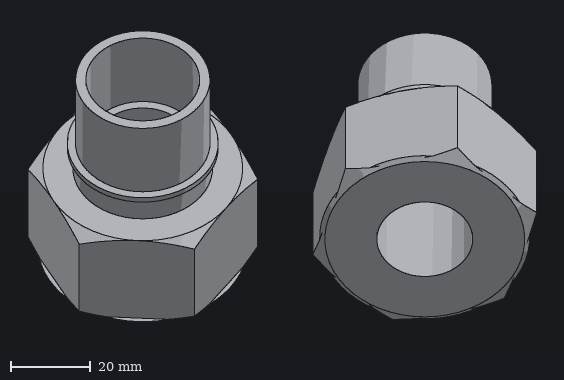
import cadquery as cq
import math

total_height = 61.25
nut_height = 29.0
collar_bottom = 36.55
collar_top = 38.15

tube_diameter = 33.7
collar_diameter = 37.8
neck_diameter = 35.0
socket_diameter = 28.5
bore_diameter = 24.0
skirt_diameter = 52.6

corner_diameter = 57.75
flat_diameter = corner_diameter * math.cos(math.radians(30))
chamfer_slope = math.tan(math.radians(30))
chamfer_height = (corner_diameter - flat_diameter) / 2 * chamfer_slope
skirt_height = (skirt_diameter - flat_diameter) / 2 * chamfer_slope


def cylinder(diameter, bottom, top):
    """Cylinder about the Z axis between two heights."""
    return cq.Workplane("XY").workplane(offset=bottom).circle(diameter / 2).extrude(top - bottom)


def chamfered_hexagon():
    """Hexagonal prism whose corners are cut by a cone at each end."""
    prism = (
        cq.Workplane("XY")
        .polygon(6, corner_diameter)
        .extrude(nut_height)
        .rotate((0, 0, 0), (0, 0, 1), 30)
    )
    envelope = (
        cq.Workplane("XZ")
        .lineTo(flat_diameter / 2, 0)
        .lineTo(corner_diameter / 2, chamfer_height)
        .lineTo(corner_diameter / 2, nut_height - chamfer_height)
        .lineTo(flat_diameter / 2, nut_height)
        .lineTo(0, nut_height)
        .close()
        .revolve(360, (0, 0), (0, 1))
    )
    return prism.intersect(envelope)


def conical_skirt():
    """Thin flared ring that continues the lower chamfer cone past the flats."""
    return (
        cq.Workplane("XZ")
        .lineTo(flat_diameter / 2, 0)
        .lineTo(skirt_diameter / 2, skirt_height)
        .lineTo(0, skirt_height)
        .close()
        .revolve(360, (0, 0), (0, 1))
    )


nut = chamfered_hexagon().union(conical_skirt())
neck = cylinder(neck_diameter, 0, collar_bottom)
collar = cylinder(collar_diameter, collar_bottom, collar_top)
tube = cylinder(tube_diameter, collar_top, total_height)

bore = cylinder(bore_diameter, 0, total_height)
socket = cylinder(socket_diameter, collar_top, total_height)

result = nut.union(neck).union(collar).union(tube).cut(bore).cut(socket)